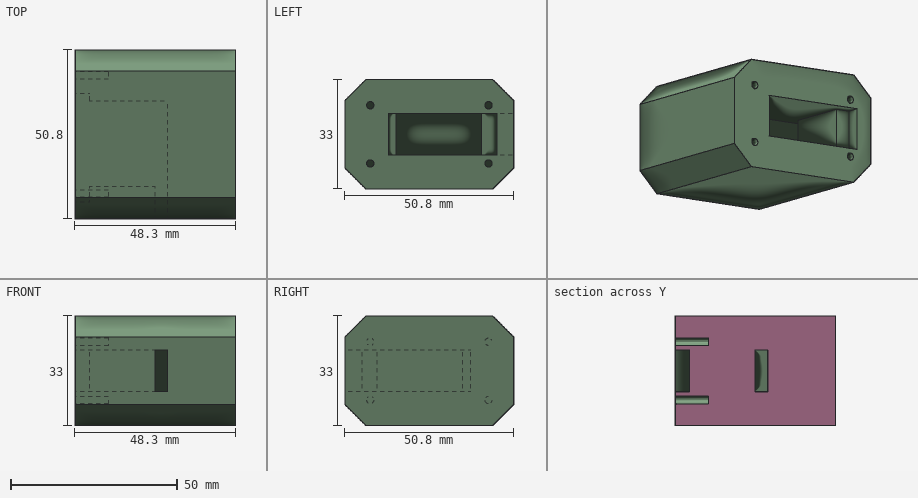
import cadquery as cq

LENGTH = 48.26
WIDTH = 50.8
HEIGHT = 33.02
EDGE_CHAMFER = 6.35

POCKET_HEIGHT = 12.5
MOUTH_Y_MIN = -20.32
MOUTH_Y_MAX = 12.3
MOUTH_DEPTH = 4.3
BODY_Y_MIN = -15.7
BODY_Y_MAX = 10.0

SLOT_WIDTH = 3.81
SLOT_X_MAX = 3.7

HOLE_DIAMETER = 2.2
HOLE_DEPTH = 10.0
HOLE_SPACING_Y = 35.56
HOLE_SPACING_Z = 17.5

ENTRY_FACE_X = -LENGTH / 2
SIDE_FACE_Y = -WIDTH / 2


def box_between(x_min, x_max, y_min, y_max, height):
    """Box spanning the given X and Y limits, centred on Z = 0."""
    return (
        cq.Workplane("XY")
        .box(x_max - x_min, y_max - y_min, height, centered=(False, False, True))
        .translate((x_min, y_min, 0))
    )


def housing():
    """Block with its four long edges chamfered."""
    return cq.Workplane("XY").box(LENGTH, WIDTH, HEIGHT).edges("|X").chamfer(EDGE_CHAMFER)


def stepped_pocket():
    """Wide mouth and narrow body of the pocket, as one cutting solid."""
    mouth_x_max = ENTRY_FACE_X + MOUTH_DEPTH
    mouth = box_between(ENTRY_FACE_X, mouth_x_max, MOUTH_Y_MIN, MOUTH_Y_MAX, POCKET_HEIGHT)
    body = box_between(ENTRY_FACE_X, SLOT_X_MAX, BODY_Y_MIN, BODY_Y_MAX, POCKET_HEIGHT)
    return mouth.union(body)


def cable_slot():
    """Slot as tall as the pocket, from the -Y face to the pocket's near side wall."""
    slot_x_min = SLOT_X_MAX - SLOT_WIDTH
    return box_between(slot_x_min, SLOT_X_MAX, SIDE_FACE_Y, BODY_Y_MIN, POCKET_HEIGHT)


def screw_holes():
    """Four blind holes running in +X from the entry face."""
    return (
        cq.Workplane("YZ", origin=(ENTRY_FACE_X, 0, 0))
        .rarray(HOLE_SPACING_Y, HOLE_SPACING_Z, 2, 2)
        .circle(HOLE_DIAMETER / 2)
        .extrude(HOLE_DEPTH)
    )


result = housing().cut(stepped_pocket()).cut(cable_slot()).cut(screw_holes())